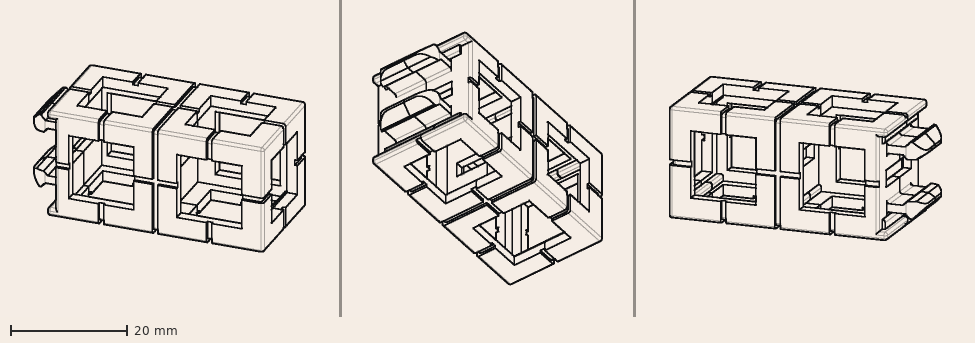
import cadquery as cq

total_length = 45.0
cell = 20.0
cell_count = 2
half = cell / 2
frame_length = cell * cell_count
frame_start = total_length - frame_length
round_radius = 0.5
tolerance = 0.05

shell_wall = 2.0
window = 12.0
cross_wall = 1.5
slot_height = 3.0
recess_depth = 1.5
lip = 1.5
latch_face = frame_start + recess_depth
middle_face = frame_start + cell - cross_wall / 2
end_face = total_length - shell_wall
cavity_half = half - shell_wall
recess_half = half - lip

groove_width = 1.0
groove_depth = 0.5

seam = -groove_width / 2
bar_joint = -2.55
bar_gap = 0.1
bar_depth = 0.5
end_bar_depth = 1.2
bar_rounding = 0.45
bar_inner_height = 6.8

tongue_half_width = 5.9
tongue_corner_radius = 3.0
stem_outer = window / 2
stem_inner = 4.5
barb_outer = 6.9
barb_inner = 3.75
tip_outer = 5.05
tip_inner = 4.5
outer_crest_start = barb_outer - tip_outer
outer_crest_end = 2.25
outer_catch = outer_crest_end + barb_outer - stem_outer
inner_crest_start = 1.25
inner_crest_end = 2.8
inner_catch = inner_crest_end + stem_inner - barb_inner


def block(x_min, x_max, y_min, y_max, z_min, z_max):
    """Box given by its limits along each axis."""
    size = (x_max - x_min, y_max - y_min, z_max - z_min)
    return cq.Workplane("XY").box(*size, centered=False).translate((x_min, y_min, z_min))


def centred_block(x_min, x_max, half_y, half_z):
    """Box centred on the X axis."""
    return block(x_min, x_max, -half_y, half_y, -half_z, half_z)


def cross_edges(z_min, z_max):
    """Selector for the edges along Y in the latch face, between two heights."""
    return cq.selectors.BoxSelector(
        (latch_face - tolerance, -tolerance, z_min - tolerance),
        (latch_face + tolerance, tolerance, z_max + tolerance),
    )


def outer_shape():
    """Rounded outer block with the recess that leaves two lips at -X."""
    body = centred_block(frame_start, total_length, half, half)
    body = body.cut(centred_block(frame_start, latch_face, half, recess_half))
    inner_corners = cross_edges(-recess_half, recess_half)
    return body.edges(cq.selectors.InverseSelector(inner_corners)).fillet(round_radius)


def grooves():
    """Bands around the frame, reaching down to a smaller rounded core."""
    bands = centred_block(frame_start, total_length, groove_width / 2, half)
    bands = bands.union(centred_block(latch_face, total_length, half, groove_width / 2))
    for step in range(1, 2 * cell_count):
        middle = frame_start + step * half
        bands = bands.union(centred_block(middle - groove_width / 2, middle + groove_width / 2, half, half))
    core_half = half - groove_depth
    core = centred_block(frame_start, total_length - groove_depth, core_half, core_half)
    core = core.edges("|X or >X").fillet(round_radius)
    return bands.cut(core)


def hollows():
    """Cell cavities, the face windows and the slots of the two cross walls."""
    space = centred_block(latch_face + cross_wall, middle_face, cavity_half, cavity_half)
    space = space.union(centred_block(middle_face + cross_wall, end_face, cavity_half, cavity_half))
    for index in range(cell_count):
        middle = frame_start + (index + 0.5) * cell
        x_min = middle - window / 2
        x_max = middle + window / 2
        space = space.union(centred_block(x_min, x_max, half, window / 2))
        space = space.union(centred_block(x_min, x_max, window / 2, half))
    space = space.union(centred_block(end_face, total_length, window / 2, window / 2))
    return space.union(centred_block(latch_face, end_face, window / 2, slot_height / 2))


def upper_tongue():
    """Snap tongue above mid height, with a barbed head and rounded corners."""
    profile = [
        (0, tip_inner),
        (0, tip_outer),
        (outer_crest_start, barb_outer),
        (outer_crest_end, barb_outer),
        (outer_catch, stem_outer),
        (latch_face, stem_outer),
        (latch_face, stem_inner),
        (inner_catch, stem_inner),
        (inner_crest_end, barb_inner),
        (inner_crest_start, barb_inner),
    ]
    tongue = cq.Workplane("XZ").polyline(profile).close().extrude(tongue_half_width, both=True)
    plan = centred_block(0, latch_face, tongue_half_width, half)
    return tongue.intersect(plan.edges("|Z and <X").fillet(tongue_corner_radius))


def carcass():
    """Hollow two-cell frame with its tongues, before it is split."""
    tongue = upper_tongue()
    body = outer_shape().cut(grooves()).cut(hollows())
    body = body.union(tongue).union(tongue.mirror("XY"))
    roots = cross_edges(stem_inner, stem_outer) + cross_edges(-stem_outer, -stem_inner)
    return body.edges(roots).fillet(round_radius)


def upper_bar(face, depth, outer_height, y_min, y_max):
    """Bar on the -X side of a wall, with its lower free edge rounded."""
    bar = block(face - depth, face, y_min, y_max, bar_inner_height, outer_height)
    return bar.edges("|Y and <X and <Z").fillet(bar_rounding)


def bars(y_min, y_max):
    """All bars of one half of the frame."""
    places = [
        (latch_face, bar_depth, recess_half),
        (middle_face, bar_depth, cavity_half),
        (end_face, end_bar_depth, cavity_half),
    ]
    solids = []
    for face, depth, outer_height in places:
        bar = upper_bar(face, depth, outer_height, y_min, y_max)
        solids += [bar, bar.mirror("XY")]
    return solids


def frame_half(y_min, y_max, bar_y_min, bar_y_max):
    """One half of the carcass together with its bars."""
    body = carcass().intersect(block(0, total_length, y_min, y_max, -half, half))
    for bar in bars(bar_y_min, bar_y_max):
        body = body.union(bar)
    return body


back_half = frame_half(seam, half, bar_joint + bar_gap / 2, cavity_half)
front_half = frame_half(-half, seam, -cavity_half, bar_joint - bar_gap / 2)

result = cq.Compound.makeCompound([back_half.val(), front_half.val()])